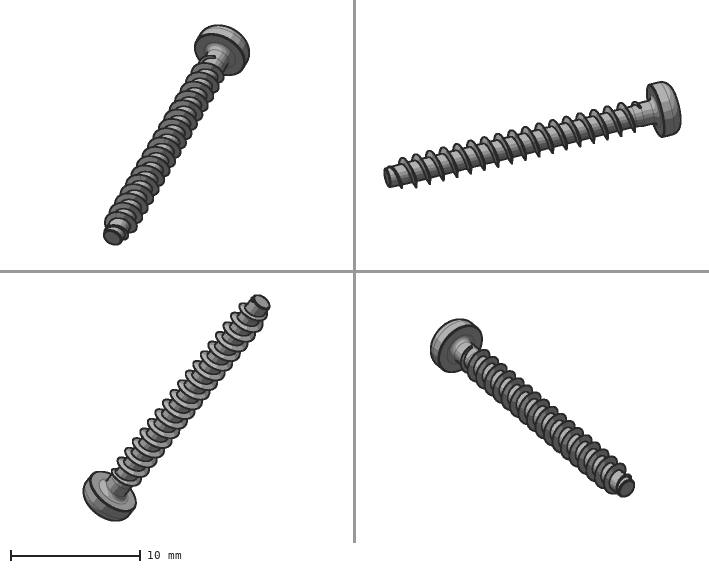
import cadquery as cq
import math

total_length = 23.6

head_radius = 2.1
head_height = 1.6
head_dome_radius = 0.8
head_rim_chamfer = 0.06

shank_radius = 1.82 / 2
shank_length = 1.25
neck_fillet_radius = 0.4

core_radius = 0.8
core_blend_length = 0.6
tip_radius = 0.75
tip_chamfer = 0.07
tip_taper_length = 1.53
tip_cone_height = 0.05

crest_radius = 2.53 / 2
sixteen_turn_advance = 17.9
pitch = sixteen_turn_advance / 16
crest_width = 0.02
root_width = 0.42
root_overlap = 0.07
helix_phase_y = -1.55
lead_in_length = 1.06
lead_in_slope = 0.2
run_out_length = 1.42
run_out_slope = 0.35
tip_clearance = 0.24
points_per_turn = 16
full_section_count = 4

tip_y = head_height - total_length
tip_edge_y = tip_y + tip_cone_height
thread_start_y = -shank_length
thread_end_y = tip_y + tip_clearance
full_start_y = thread_start_y - lead_in_length
full_end_y = thread_end_y + run_out_length


def make_body():
    """Revolve the head, shank, core and tip as one half profile."""
    arc_mid = math.sqrt(0.5)
    dome_flat_radius = head_radius - head_dome_radius
    dome_start_y = head_height - head_dome_radius
    dome_mid = (
        dome_flat_radius + head_dome_radius * arc_mid,
        dome_start_y + head_dome_radius * arc_mid,
    )
    neck_outer_radius = shank_radius + neck_fillet_radius
    neck_mid = (
        neck_outer_radius - neck_fillet_radius * arc_mid,
        -neck_fillet_radius * (1 - arc_mid),
    )
    return (
        cq.Workplane("XY")
        .moveTo(0, tip_y)
        .lineTo(tip_radius - tip_chamfer, tip_edge_y)
        .lineTo(tip_radius, tip_edge_y + tip_chamfer)
        .lineTo(core_radius, tip_edge_y + tip_taper_length)
        .lineTo(core_radius, -shank_length - core_blend_length)
        .lineTo(shank_radius, -shank_length)
        .lineTo(shank_radius, -neck_fillet_radius)
        .threePointArc(neck_mid, (neck_outer_radius, 0))
        .lineTo(head_radius - head_rim_chamfer, 0)
        .lineTo(head_radius, head_rim_chamfer)
        .lineTo(head_radius, dome_start_y)
        .threePointArc(dome_mid, (dome_flat_radius, head_height))
        .lineTo(0, head_height)
        .close()
        .revolve(360, (0, 0, 0), (0, 1, 0))
    )


def thread_sink(y):
    """Inward shift of the thread profile, which fades the thread out at both ends."""
    lead_in = lead_in_slope * max(0, y - full_start_y)
    run_out = run_out_slope * max(0, full_end_y - y)
    return lead_in + run_out


def helix_edge(radius, y_offset, y_from, y_to):
    """Thread edge at the given full-depth radius and offset from the thread's mid-line."""
    steps = math.ceil(points_per_turn * (y_from - y_to) / pitch)
    fractions = [i / steps for i in range(steps + 1)]
    points = []
    for fraction in fractions:
        y = y_from + (y_to - y_from) * fraction
        angle = 2 * math.pi * (y - helix_phase_y) / pitch
        r = radius - thread_sink(y)
        points.append(cq.Vector(-r * math.cos(angle), y + y_offset, r * math.sin(angle)))
    return cq.Edge.makeSpline(points, parameters=fractions)


def make_thread_section(y_from, y_to):
    """Close four helical edges into a solid of trapezoidal section."""
    root_radius = core_radius - root_overlap
    edges = [
        helix_edge(root_radius, root_width / 2, y_from, y_to),
        helix_edge(crest_radius, crest_width / 2, y_from, y_to),
        helix_edge(crest_radius, -crest_width / 2, y_from, y_to),
        helix_edge(root_radius, -root_width / 2, y_from, y_to),
    ]
    faces = [
        cq.Face.makeRuledSurface(edge, edges[(i + 1) % len(edges)])
        for i, edge in enumerate(edges)
    ]
    start_corners = [edge.startPoint() for edge in edges]
    end_corners = [edge.endPoint() for edge in edges]
    for corners in (start_corners, end_corners):
        outline = cq.Wire.makePolygon(corners, close=True)
        faces.append(cq.Face.makeFromWires(outline))
    return cq.Solid.makeSolid(cq.Shell.makeShell(faces))


def make_thread():
    """Build the lead-in, the full-depth sections and the run-out, end to end."""
    section_length = (full_start_y - full_end_y) / full_section_count
    breaks = [thread_start_y]
    breaks += [full_start_y - section_length * i for i in range(full_section_count)]
    breaks += [full_end_y, thread_end_y]
    return [make_thread_section(upper, lower) for upper, lower in zip(breaks, breaks[1:])]


result = cq.Workplane(make_body().val().fuse(*make_thread()).Solids()[0])